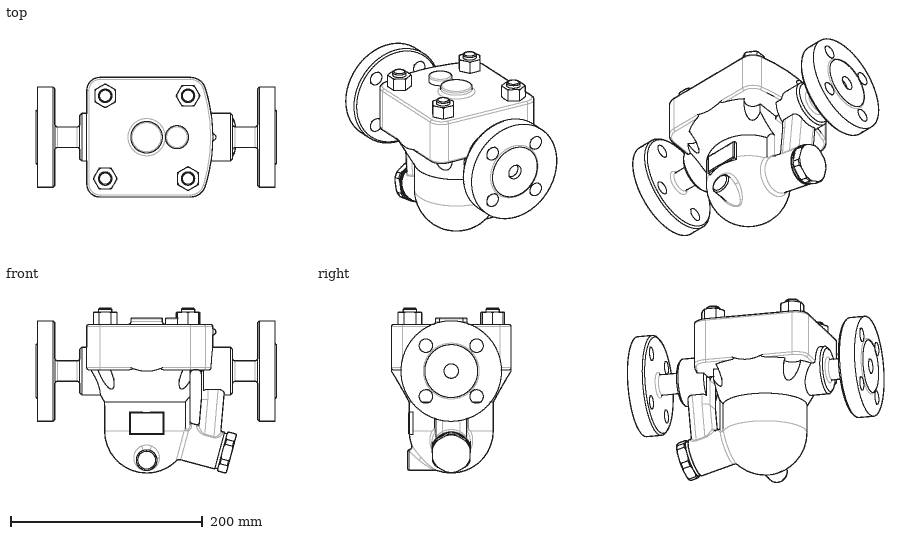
import cadquery as cq
import math

HALF_LENGTH = 125.5
BOWL_X = -10.0

FLANGE_DIA = 105.0
FLANGE_THICKNESS = 18.3
FLANGE_CHAMFER = 2.0
RAISED_FACE_DIA = 55.2
RAISED_FACE_HEIGHT = 1.5
PIPE_DIA = 21.5
PIPE_FILLET = 2.8
BORE_DIA = 15.0
BORE_DEPTH = 6.3
BOLT_CIRCLE_DIA = 74.8
BOLT_HOLE_DIA = 14.0

HUB_DIA = 50.0
HUB_CHAMFER = 2.3
HUB_END_LEFT = -79.8
HUB_END_RIGHT = 79.5

BLOCK_LEFT = -72.5
BLOCK_HALF_WIDTH = 62.5
BLOCK_APEX = 59.0
BULGE_RADIUS = 173.2
BULGE_CENTRE = BLOCK_APEX - BULGE_RADIUS
CORNER_RADIUS_LEFT = 13.8
CORNER_RADIUS_RIGHT = 16.5
BLOCK_BOTTOM = 1.3
COVER_TOP = 48.7
EMBED_Z = 15.0
BLOCK_EDGE_FILLET = 2.3

BOSS_TOP = 55.5
BIG_BOSS_DIA = 33.0
BIG_BOSS_FILLET = 3.0
SMALL_BOSS_DIA = 24.0
SMALL_BOSS_X = 21.5
BOSS_EDGE = 1.3
KNOB_RADIUS = 3.3
KNOB_Z = 41.0

STUD_SPACING = 86.3
STUD_DIA = 14.0
STUD_TOP = 65.5
STUD_EDGE = 1.13
NUT_FLATS = 21.5
NUT_TOP = 61.5
NUT_EDGE = 0.8
STUD_RELIEF_RADIUS = 9.3

BOWL_RADIUS = 44.0
BOWL_CENTRE_Z = -62.5
CONE_BOTTOM = -32.5
CONE_ANGLE = 30.0
BOWL_SIDE_X = 35.5

WEB_HALF_DEPTH = 16.0
WEB_CORNER = 6.8
RIB_HALF_DEPTH = 17.5
RIB_CORNER = 6.3
HANGER_X = 47.0
WEB_OVERLAP = 2.5
SLOT_CORNER = 4.0

RISER_WIDTH = 23.3
RISER_TILT = 5.0
RISER_TOP_X = 61.2
RISER_LENGTH = 72.8

STRAINER_TILT = 15.0
STRAINER_DIA = 40.0
STRAINER_END = 78.8
STRAINER_FILLET = 5.0
NECK_DIA = 38.0
PLUG_START = 81.8
PLUG_END = 91.5
PLUG_FLATS = 39.5
PLUG_CORNER_DIA = 42.5
PLUG_EDGE = 1.0
JUNCTION_FILLET = 2.0

DRAIN_ROOT_Y = (-30.0, -25.0)
RIB_ROOT_X = (27.5, 35.6)
RIB_ROOT_Z = (-64.0, -54.2)
RISER_ROOT_X = (42.7, 70.3)
RISER_ROOT_Z = (-72.8, -50.2)

DRAIN_Z = -92.9
DRAIN_DIA = 21.5
DRAIN_FRONT = 45.7
DRAIN_EDGE = 1.5
DRAIN_FILLET = 3.8
PLATE_WIDTH = 36.1
PLATE_BOTTOM = -66.3
PLATE_TOP = -42.7
PLATE_FRONT = 44.5
PLATE_EDGE = 1.0


def cylinder_z(x, y, bottom, top, diameter):
    return cq.Workplane("XY", origin=(x, y, bottom)).circle(diameter / 2).extrude(top - bottom)


def cylinder_x(left, right, diameter):
    return cq.Workplane("YZ", origin=(left, 0, 0)).circle(diameter / 2).extrude(right - left)


def box_between(x_range, y_range, z_range):
    (x0, x1), (y0, y1), (z0, z1) = x_range, y_range, z_range
    return cq.Workplane("XY").box(x1 - x0, y1 - y0, z1 - z0, centered=False).translate((x0, y0, z0))


def make_block():
    """Cover and body in one: a rectangle with a bulged right side and tangent round corners."""
    half = BLOCK_HALF_WIDTH
    reach = BULGE_RADIUS - CORNER_RADIUS_RIGHT
    corner_y = half - CORNER_RADIUS_RIGHT
    corner_dx = math.sqrt(reach**2 - corner_y**2)
    corner_x = BULGE_CENTRE + corner_dx
    tangent_x = BULGE_CENTRE + corner_dx * BULGE_RADIUS / reach
    tangent_y = corner_y * BULGE_RADIUS / reach
    left_x = BLOCK_LEFT + CORNER_RADIUS_LEFT
    left_y = half - CORNER_RADIUS_LEFT
    block = (
        cq.Workplane("XY", origin=(0, 0, BLOCK_BOTTOM))
        .moveTo(left_x, -half)
        .lineTo(corner_x, -half)
        .tangentArcPoint((tangent_x, -tangent_y), relative=False)
        .threePointArc((BLOCK_APEX, 0), (tangent_x, tangent_y))
        .tangentArcPoint((corner_x, half), relative=False)
        .lineTo(left_x, half)
        .tangentArcPoint((BLOCK_LEFT, left_y), relative=False)
        .lineTo(BLOCK_LEFT, -left_y)
        .tangentArcPoint((left_x, -half), relative=False)
        .close()
        .extrude(COVER_TOP - BLOCK_BOTTOM)
    )
    return block.faces("<Z or >Z").edges().fillet(BLOCK_EDGE_FILLET)


def make_cover_details():
    root = BIG_BOSS_DIA / 2 + BIG_BOSS_FILLET
    side = BIG_BOSS_DIA / 2
    big_boss = (
        cq.Workplane("XZ", origin=(BOWL_X, 0, 0))
        .moveTo(0, EMBED_Z)
        .lineTo(root, EMBED_Z)
        .lineTo(root, COVER_TOP)
        .radiusArc((side, COVER_TOP + BIG_BOSS_FILLET), BIG_BOSS_FILLET)
        .lineTo(side, BOSS_TOP)
        .lineTo(0, BOSS_TOP)
        .close()
        .revolve(360, (0, 0, 0), (0, 1, 0))
        .faces(">Z").edges().fillet(BOSS_EDGE)
    )
    small_boss = cylinder_z(SMALL_BOSS_X, 0, EMBED_Z, BOSS_TOP, SMALL_BOSS_DIA)
    small_boss = small_boss.faces(">Z").edges().fillet(BOSS_EDGE)
    knob = cq.Workplane("XY").sphere(KNOB_RADIUS).translate((BLOCK_APEX, 0, KNOB_Z))
    return big_boss.union(small_boss).union(knob)


def stud_positions():
    """Each stud centre, and whether its nut has corners along Y instead of along X."""
    half = STUD_SPACING / 2
    return [(BOWL_X + sx * half, sy * half, sx * sy < 0) for sx in (-1, 1) for sy in (-1, 1)]


def make_stud_with_nut(x, y, corners_along_y):
    nut_corners = NUT_FLATS / math.cos(math.radians(30))
    nut = cq.Workplane("XY", origin=(0, 0, EMBED_Z)).polygon(6, nut_corners).extrude(NUT_TOP - EMBED_Z)
    envelope = cylinder_z(0, 0, EMBED_Z, NUT_TOP, nut_corners).faces(">Z").edges().chamfer(NUT_EDGE)
    nut = nut.intersect(envelope)
    if corners_along_y:
        nut = nut.rotate((0, 0, 0), (0, 0, 1), 30)
    stud = cylinder_z(0, 0, EMBED_Z, STUD_TOP, STUD_DIA).faces(">Z").edges().chamfer(STUD_EDGE)
    return nut.union(stud).translate((x, y, 0))


def make_bowl():
    """Hemisphere, cylinder and 30 degree cone, cut flat on the right and relieved below the studs."""
    top_radius = BOWL_RADIUS + (EMBED_Z - CONE_BOTTOM) * math.tan(math.radians(CONE_ANGLE))
    bowl = (
        cq.Workplane("XZ", origin=(BOWL_X, 0, 0))
        .moveTo(0, BOWL_CENTRE_Z - BOWL_RADIUS)
        .radiusArc((BOWL_RADIUS, BOWL_CENTRE_Z), -BOWL_RADIUS)
        .lineTo(BOWL_RADIUS, CONE_BOTTOM)
        .lineTo(top_radius, EMBED_Z)
        .lineTo(0, EMBED_Z)
        .close()
        .revolve(360, (0, 0, 0), (0, 1, 0))
    )
    width = (-BLOCK_HALF_WIDTH, BLOCK_HALF_WIDTH)
    bowl_bottom = BOWL_CENTRE_Z - BOWL_RADIUS
    bowl = bowl.intersect(box_between((BLOCK_LEFT, BOWL_SIDE_X), width, (bowl_bottom, EMBED_Z)))
    for x, y, _ in stud_positions():
        bowl = bowl.cut(cylinder_z(x, y, CONE_BOTTOM, EMBED_Z, 2 * STUD_RELIEF_RADIUS))
    return bowl


def make_drain():
    drain = cq.Workplane("XZ", origin=(BOWL_X, 0, DRAIN_Z)).circle(DRAIN_DIA / 2).extrude(DRAIN_FRONT)
    return drain.faces("<Y").edges().chamfer(DRAIN_EDGE)


def make_plate():
    half = PLATE_WIDTH / 2
    plate = box_between((BOWL_X - half, BOWL_X + half), (-PLATE_FRONT, 0), (PLATE_BOTTOM, PLATE_TOP))
    return plate.faces("<Y").edges().chamfer(PLATE_EDGE)


def make_web():
    """Rib on the bowl and hanger on the outlet hub, joined above a round-cornered slot."""
    depth = (-WEB_HALF_DEPTH, WEB_HALF_DEPTH)
    rib = box_between((0, BOWL_SIDE_X), (-RIB_HALF_DEPTH, RIB_HALF_DEPTH), (BOWL_CENTRE_Z, EMBED_Z))
    rib = rib.edges("|Z and >X").fillet(RIB_CORNER)
    hanger = box_between((HANGER_X, RISER_TOP_X), depth, (CONE_BOTTOM, 0))
    hanger = hanger.edges("|Z and <X").fillet(WEB_CORNER)
    bridge_depth = (WEB_CORNER - WEB_HALF_DEPTH, WEB_HALF_DEPTH - WEB_CORNER)
    bridge_width = (BOWL_SIDE_X - WEB_OVERLAP, HANGER_X + WEB_OVERLAP)
    bridge = box_between(bridge_width, bridge_depth, (-SLOT_CORNER, EMBED_Z))
    slot = box_between((BOWL_SIDE_X, HANGER_X), depth, (CONE_BOTTOM, BLOCK_BOTTOM))
    slot = slot.edges("|Y and >Z").fillet(SLOT_CORNER)
    return rib.union(hanger).union(bridge.cut(slot))


def make_riser():
    riser = (
        cq.Workplane("XY")
        .rect(RISER_WIDTH, 2 * WEB_HALF_DEPTH)
        .extrude(-RISER_LENGTH)
        .edges("|Z").fillet(WEB_CORNER)
    )
    return riser.rotate((0, 0, 0), (0, 1, 0), RISER_TILT).translate((RISER_TOP_X, 0, 0))


def make_strainer():
    """Built along +X from the hemisphere centre, then tilted downwards."""
    radius = STRAINER_DIA / 2
    fillet_y = radius + STRAINER_FILLET
    centre_distance = BOWL_RADIUS + STRAINER_FILLET
    fillet_x = math.sqrt(centre_distance**2 - fillet_y**2)
    touch = BOWL_RADIUS / centre_distance
    housing = (
        cq.Workplane("XY")
        .lineTo(fillet_x * touch, fillet_y * touch)
        .radiusArc((fillet_x, radius), -STRAINER_FILLET)
        .lineTo(STRAINER_END, radius)
        .lineTo(STRAINER_END, NECK_DIA / 2)
        .lineTo(PLUG_START, NECK_DIA / 2)
        .lineTo(PLUG_START, 0)
        .close()
        .revolve(360, (0, 0, 0), (1, 0, 0))
    )
    plug = (
        cq.Workplane("YZ", origin=(PLUG_START, 0, 0))
        .polygon(6, PLUG_FLATS / math.cos(math.radians(30)))
        .extrude(PLUG_END - PLUG_START)
        .rotate((0, 0, 0), (1, 0, 0), 30)
    )
    envelope = cylinder_x(PLUG_START, PLUG_END, PLUG_CORNER_DIA).edges().chamfer(PLUG_EDGE)
    strainer = housing.union(plug.intersect(envelope))
    return strainer.rotate((0, 0, 0), (0, 1, 0), STRAINER_TILT).translate((BOWL_X, 0, BOWL_CENTRE_Z))


def make_connection(hub_start, hub_end):
    """Hub, pipe and flange along +X, ending at HALF_LENGTH."""
    pipe = PIPE_DIA / 2
    hub = HUB_DIA / 2
    flange = FLANGE_DIA / 2
    raised_face = RAISED_FACE_DIA / 2
    face = HALF_LENGTH - RAISED_FACE_HEIGHT
    flange_back = face - FLANGE_THICKNESS
    connection = (
        cq.Workplane("XY")
        .moveTo(hub_start, 0)
        .lineTo(hub_start, hub)
        .lineTo(hub_end - HUB_CHAMFER, hub)
        .lineTo(hub_end, hub - HUB_CHAMFER)
        .lineTo(hub_end, pipe + PIPE_FILLET)
        .radiusArc((hub_end + PIPE_FILLET, pipe), -PIPE_FILLET)
        .lineTo(flange_back - PIPE_FILLET, pipe)
        .radiusArc((flange_back, pipe + PIPE_FILLET), -PIPE_FILLET)
        .lineTo(flange_back, flange - FLANGE_CHAMFER)
        .lineTo(flange_back + FLANGE_CHAMFER, flange)
        .lineTo(face, flange)
        .lineTo(face, raised_face + RAISED_FACE_HEIGHT)
        .radiusArc((HALF_LENGTH, raised_face), -RAISED_FACE_HEIGHT)
        .lineTo(HALF_LENGTH, 0)
        .close()
        .revolve(360, (0, 0, 0), (1, 0, 0))
    )
    bolt_spacing = BOLT_CIRCLE_DIA / math.sqrt(2)
    bolt_holes = (
        cq.Workplane("YZ", origin=(flange_back, 0, 0))
        .rect(bolt_spacing, bolt_spacing, forConstruction=True)
        .vertices()
        .circle(BOLT_HOLE_DIA / 2)
        .extrude(FLANGE_THICKNESS)
    )
    bore = cylinder_x(HALF_LENGTH - BORE_DEPTH, HALF_LENGTH, BORE_DIA)
    return connection.cut(bolt_holes).cut(bore)


def fillet_edges_in(shape, x_range, y_range, z_range, radius):
    """Rounds the edges whose centres lie within the three ranges."""
    corners = zip(x_range, y_range, z_range)
    return shape.edges(cq.selectors.BoxSelector(*corners)).fillet(radius)


def make_lower_body():
    """Bowl, drain, strainer, web and riser with rounded junctions."""
    margin = 0.3
    depth = (-RIB_HALF_DEPTH - margin, RIB_HALF_DEPTH + margin)
    body = make_bowl().union(make_drain())
    drain_x = (BOWL_X - DRAIN_DIA, BOWL_X + DRAIN_DIA)
    drain_z = (DRAIN_Z - DRAIN_DIA, DRAIN_Z + DRAIN_DIA)
    body = fillet_edges_in(body, drain_x, DRAIN_ROOT_Y, drain_z, DRAIN_FILLET)
    body = body.union(make_strainer()).union(make_web())
    body = fillet_edges_in(body, RIB_ROOT_X, depth, RIB_ROOT_Z, JUNCTION_FILLET)
    body = body.union(make_riser())
    return fillet_edges_in(body, RISER_ROOT_X, depth, RISER_ROOT_Z, JUNCTION_FILLET)


result = make_lower_body()
for part in (make_plate(), make_block(), make_cover_details()):
    result = result.union(part)
for stud_x, stud_y, nut_turned in stud_positions():
    result = result.union(make_stud_with_nut(stud_x, stud_y, nut_turned))
inlet = make_connection(-BOWL_X, -HUB_END_LEFT).mirror("YZ")
outlet = make_connection(HANGER_X + WEB_OVERLAP, HUB_END_RIGHT)
result = result.union(inlet).union(outlet)